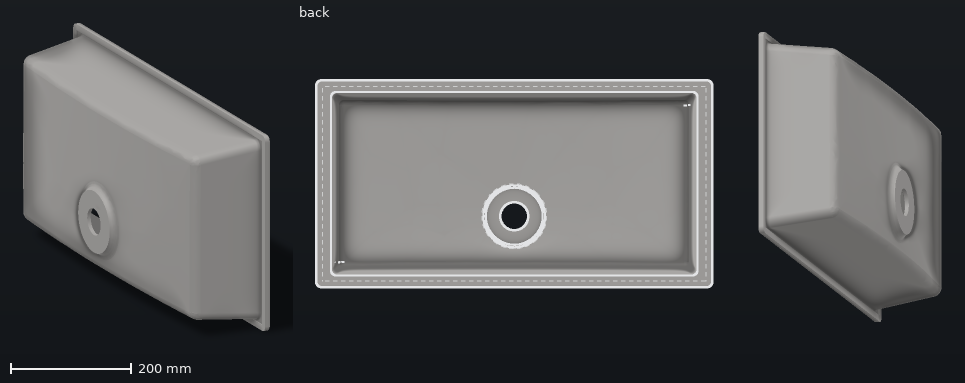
import cadquery as cq
import math

RIM_LENGTH = 660.5
RIM_WIDTH = 345.5
RIM_DEPTH = 10.0
RIM_CORNER = 10.0
RIM_EDGE_ROUND = 2.5
RIM_BAND = 10.5
RECESS_DEPTH = 2.0

MOUTH_LENGTH = 622.0
MOUTH_WIDTH = 317.0
DRAFT_ANGLE = 6.7
END_DEPTH = 126.0
MIDDLE_SAG = 10.5
DRAIN_SAG = 6.5
BOWL_ROUND = 15.0
MOUTH_ROUND = 2.5
SHEET = 6.5

TOTAL_DEPTH = 153.0
DRAIN_Z = -54.0
CUP_RADIUS = 54.0
CUP_DRAFT = 20.0
CUP_REACH = 20.0
CUP_ROOT_ROUND = 13.0
HOLE_RADIUS = 23.0

FLOOR_STEPS = 12
FLOOR_TOLERANCE = 0.02
SLAB = 5.0

mouth_y = RECESS_DEPTH - RIM_DEPTH


def plate(length, width, depth, start_y):
    """Rectangle centred on the Y axis, running from start_y toward -Y."""
    return cq.Workplane("XZ", origin=(0, start_y, 0)).rect(length, width).extrude(depth)


def floor_depth(x, z):
    """Floor depth: level along the two ends, deepest at the drain."""
    toward_middle = 1 - (2 * x / MOUTH_LENGTH) ** 2
    wall_z = math.copysign(MOUTH_WIDTH / 2, z - DRAIN_Z)
    toward_drain = 1 - ((z - DRAIN_Z) / (wall_z - DRAIN_Z)) ** 2
    return END_DEPTH + toward_middle * (MIDDLE_SAG + DRAIN_SAG * toward_drain)


def below_floor(inset):
    """Solid lying beyond the floor surface once that is raised by inset."""

    def floor_point(i, j):
        x = MOUTH_LENGTH * (i / FLOOR_STEPS - 0.5)
        z = MOUTH_WIDTH * (j / FLOOR_STEPS - 0.5)
        return cq.Vector(x, inset - floor_depth(x, z), z)

    steps = range(FLOOR_STEPS + 1)
    points = [[floor_point(i, j) for j in steps] for i in steps]
    surface = cq.Face.makeSplineApprox(points, tol=FLOOR_TOLERANCE)
    return cq.Workplane(obj=cq.Solid.extrudeLinear(surface, cq.Vector(0, -TOTAL_DEPTH, 0)))


def bowl(inset, start_y):
    """Drafted bowl solid from start_y to the floor, all skins moved inward by inset."""
    draft = math.radians(DRAFT_ANGLE)
    shrink = inset / math.cos(draft) - (start_y - mouth_y) * math.tan(draft)
    radius = BOWL_ROUND - inset
    walls = (
        cq.Workplane("XZ", origin=(0, start_y, 0))
        .rect(MOUTH_LENGTH - 2 * shrink, MOUTH_WIDTH - 2 * shrink)
        .extrude(TOTAL_DEPTH, taper=DRAFT_ANGLE)
        .edges("not(#Y or |X or |Z)")
        .fillet(radius)
    )
    body = walls.cut(below_floor(inset))
    return body.faces("<Y").edges().fillet(radius)


def cup(inset):
    """Tapered drain cup reaching up into the bowl, its skins moved inward by inset."""
    plane = cq.Workplane("XZ", origin=(0, inset - TOTAL_DEPTH, DRAIN_Z))
    return plane.circle(CUP_RADIUS - inset).extrude(-CUP_REACH, taper=-CUP_DRAFT)


def rim():
    """Rectangular frame with a rounded back edge and a shallow recess around the bowl mouth."""
    frame = plate(RIM_LENGTH, RIM_WIDTH, RIM_DEPTH, 0)
    frame = frame.edges("|Y").fillet(RIM_CORNER)
    frame = frame.faces(">Y").edges().fillet(RIM_EDGE_ROUND)
    return frame.cut(plate(RIM_LENGTH - 2 * RIM_BAND, RIM_WIDTH - 2 * RIM_BAND, RECESS_DEPTH, mouth_y))


def edges_near(half_length, half_width, depth, center_z=0):
    """Selector for the edges centred in a thin slab at one depth, around the given Z."""
    low = (-half_length, -depth - SLAB / 2, center_z - half_width)
    high = (half_length, -depth + SLAB / 2, center_z + half_width)
    return cq.selectors.BoxSelector(low, high)


mouth_edges = edges_near((MOUTH_LENGTH + SLAB) / 2, (MOUTH_WIDTH + SLAB) / 2, -mouth_y)
outer = rim().union(bowl(0, mouth_y)).edges(mouth_edges).fillet(MOUTH_ROUND)

root_edges = edges_near(CUP_RADIUS, CUP_RADIUS, END_DEPTH + MIDDLE_SAG + DRAIN_SAG, DRAIN_Z)
outer = outer.union(cup(0)).edges(root_edges).fillet(CUP_ROOT_ROUND)

inner = bowl(SHEET, 0).union(cup(SHEET))
hole = cq.Workplane("XZ", origin=(0, 0, DRAIN_Z)).circle(HOLE_RADIUS).extrude(TOTAL_DEPTH)

result = outer.cut(inner).cut(hole)